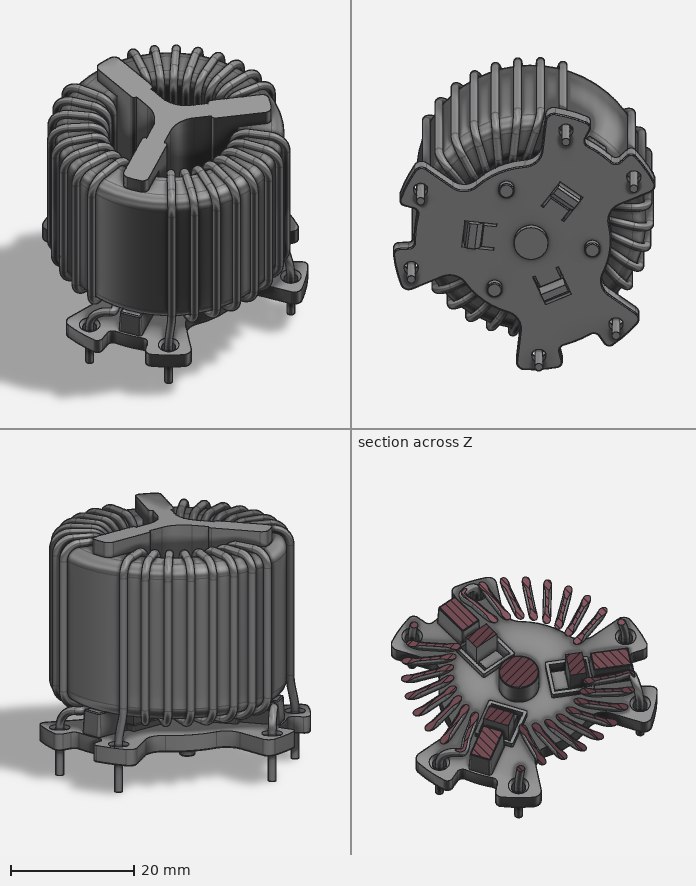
import cadquery as cq
import math


arm_spacing = 120
half_spacing = arm_spacing / 2
arm_angles = [30 + step * arm_spacing for step in range(3)]
winding_angles = [arm + half_spacing for arm in arm_angles]

core_outer_radius = 37.2 / 2
core_bore_radius = 22.35 / 2
core_bottom = 6.82
core_top = 32.8
core_edge_radius = 2.0

wire_diameter = 1.3
wire_radius = wire_diameter / 2
turn_count = 8
turn_pitch_angle = 11.12
winding_shift_angle = 0.4
pin_circle_radius = 20.0
pin_angle_from_arm = 20
pin_angle_from_winding = half_spacing - pin_angle_from_arm
pin_bottom = -5.15
last_run_length = 5.4
lead_heading = -19

plate_thickness = 2.85
hub_radius = 13.0
bridge_radius = 18.95
lobe_radius = 22.5
bridge_half_angle = 10
lobe_half_angle = 30
hub_fillet = 3.0
bridge_fillet = 1.0
lobe_inner_corner = 1.0
lobe_outer_corner = 1.35
plate_edge_chamfer = 0.2
pin_hole_diameter = 2.3
pin_countersink_diameter = 3.3
pin_countersink_angle = 90
foot_diameter = 2.5
foot_height = 1.35
foot_chamfer = 0.2
foot_circle_radius = 10.0

rim_width = 6.65
rim_inner_end = 4.9
rim_outer_end = 11.95
rim_corner_radius = 0.3
rim_top = 3.75
slot_top_width = 5.4
slot_inner_end = 5.48
slot_outer_end = 11.5
slot_draft_inset = 0.4
tongue_width = 3.7
tongue_end = 7.9
support_width = 4.0
support_inner_end = 11.85
support_outer_end = 18.55
support_corner_radius = 0.5
support_taper = 3.5
support_edge_chamfer = 0.2

spider_top = 35.35
web_width = 3.05
arm_width = 4.3
arm_start = 6.6
arm_end_radius = 16.55
arm_end_corner = 1.08
arm_step_corner = (arm_width - web_width) / 2
web_fillet = 5.0
fin_end = 10.8
post_diameter = 6.5
post_chamfer = 0.2
spigot_diameter = 5.5
spigot_bottom = -1.15
leg_start = 8.1
leg_bottom = -0.67
leg_tip_start = 9.0
leg_tip_end = 10.2
leg_bevel_top = 0.25
leg_neck_end = 10.55
leg_neck = -0.22


def polar(radius, angle, height=0.0):
    """Point at a radius, an angle in degrees and a height."""
    turn = math.radians(angle)
    return cq.Vector(radius * math.cos(turn), radius * math.sin(turn), height)


def polar_xy(radius, angle):
    return polar(radius, angle).toTuple()[:2]


def around_axis(body, angle):
    return body.rotate((0, 0, 0), (0, 0, 1), angle)


def radial_block(inner_end, outer_end, width, bottom, top):
    """Box along +X between two distances from the axis."""
    length = outer_end - inner_end
    box = cq.Workplane("XY").box(length, width, top - bottom, centered=(False, True, False))
    return box.translate((inner_end, 0, bottom))


def edges_at(radius, angles):
    """Selector for the vertical edges standing at a radius and a set of angles."""
    reach = 0.05
    tall = 224.45
    selector = None
    for angle in angles:
        x, y = polar_xy(radius, angle)
        low_corner = (x - reach, y - reach, -tall)
        high_corner = (x + reach, y + reach, tall)
        box = cq.selectors.BoxSelector(low_corner, high_corner)
        selector = box if selector is None else selector + box
    return selector


def make_core():
    ring = (
        cq.Workplane("XY", origin=(0, 0, core_bottom))
        .circle(core_outer_radius)
        .circle(core_bore_radius)
        .extrude(core_top - core_bottom)
    )
    return ring.faces("<Z or >Z").edges().fillet(core_edge_radius)


def rounded_path(points, bend_radius):
    """Straight edges through the points, with an arc in place of each right-angled corner."""
    edges = []
    start = points[0]
    for before, corner, after in zip(points, points[1:], points[2:]):
        back = (before - corner).normalized()
        ahead = (after - corner).normalized()
        arc_start = corner + back * bend_radius
        arc_middle = corner + (back + ahead) * (bend_radius * (1 - math.sqrt(0.5)))
        arc_end = corner + ahead * bend_radius
        edges.append(cq.Edge.makeLine(start, arc_start))
        edges.append(cq.Edge.makeThreePointArc(arc_start, arc_middle, arc_end))
        start = arc_end
    edges.append(cq.Edge.makeLine(start, points[-1]))
    return edges


def make_winding():
    """Winding whose middle points along +X; both ends run down as pins."""
    bend_radius = core_edge_radius + wire_radius
    outer = core_outer_radius + wire_radius
    inner = core_bore_radius - wire_radius
    high = core_top + wire_radius
    low = core_bottom - wire_radius
    up = cq.Vector(0, 0, 1)
    first_angle = winding_shift_angle - turn_pitch_angle * (turn_count - 1) / 2

    lead_in_top = polar(outer, first_angle, core_bottom + core_edge_radius)
    corners = [lead_in_top]
    for turn in range(turn_count):
        angle = first_angle + turn * turn_pitch_angle
        next_angle = angle + turn_pitch_angle
        corners.append(polar(outer, angle, high))
        corners.append(polar(inner, angle, high))
        corners.append(polar(inner, angle, low))
        corners.append(polar(outer, next_angle, low))
    last_inner = corners[-2]
    run_direction = (corners[-1] - last_inner).normalized()
    corners[-1] = last_inner + run_direction * last_run_length

    first_pin_top = polar(pin_circle_radius, -pin_angle_from_winding, plate_thickness)
    first_pin_end = polar(pin_circle_radius, -pin_angle_from_winding, pin_bottom)
    lead_in = [
        cq.Edge.makeLine(first_pin_end, first_pin_top),
        cq.Edge.makeSpline([first_pin_top, lead_in_top], tangents=[up, up]),
    ]

    last_pin_top = polar(pin_circle_radius, pin_angle_from_winding, plate_thickness)
    last_pin_end = polar(pin_circle_radius, pin_angle_from_winding, pin_bottom)
    heading = polar(1, lead_heading)
    lead_bend_radius = low - plate_thickness
    lead_bend_start = last_pin_top + (up - heading) * lead_bend_radius
    lead_bend_center = last_pin_top - heading * lead_bend_radius
    lead_bend_middle = lead_bend_center + (up + heading) * (lead_bend_radius * math.sqrt(0.5))
    lead_out = [
        cq.Edge.makeSpline([corners[-1], lead_bend_start], tangents=[run_direction, heading]),
        cq.Edge.makeThreePointArc(lead_bend_start, lead_bend_middle, last_pin_top),
        cq.Edge.makeLine(last_pin_top, last_pin_end),
    ]

    path = cq.Wire.assembleEdges(lead_in + rounded_path(corners, bend_radius) + lead_out)
    section = cq.Wire.makeCircle(wire_radius, first_pin_end, up)
    return cq.Workplane(cq.Solid.sweep(section, [], path))


def make_plate_blank():
    """Hub with a pair of lobes, joined by a bridge, in each arm direction."""
    first = arm_angles[0]
    outline = cq.Workplane("XY").moveTo(*polar_xy(hub_radius, first - lobe_half_angle))
    lobe_middle = (bridge_half_angle + lobe_half_angle) / 2
    for arm in arm_angles:
        outline = (
            outline.lineTo(*polar_xy(lobe_radius, arm - lobe_half_angle))
            .threePointArc(
                polar_xy(lobe_radius, arm - lobe_middle),
                polar_xy(lobe_radius, arm - bridge_half_angle),
            )
            .lineTo(*polar_xy(bridge_radius, arm - bridge_half_angle))
            .threePointArc(
                polar_xy(bridge_radius, arm),
                polar_xy(bridge_radius, arm + bridge_half_angle),
            )
            .lineTo(*polar_xy(lobe_radius, arm + bridge_half_angle))
            .threePointArc(
                polar_xy(lobe_radius, arm + lobe_middle),
                polar_xy(lobe_radius, arm + lobe_half_angle),
            )
            .lineTo(*polar_xy(hub_radius, arm + lobe_half_angle))
            .threePointArc(
                polar_xy(hub_radius, arm + half_spacing),
                polar_xy(hub_radius, arm + arm_spacing - lobe_half_angle),
            )
        )
    blank = outline.close().extrude(plate_thickness)

    bridge_sides = [arm + side * bridge_half_angle for arm in arm_angles for side in (-1, 1)]
    lobe_sides = [arm + side * lobe_half_angle for arm in arm_angles for side in (-1, 1)]
    blank = blank.edges(edges_at(hub_radius, lobe_sides)).fillet(hub_fillet)
    blank = blank.edges(edges_at(bridge_radius, bridge_sides)).fillet(bridge_fillet)
    blank = blank.edges(edges_at(lobe_radius, bridge_sides)).fillet(lobe_inner_corner)
    blank = blank.edges(edges_at(lobe_radius, lobe_sides)).fillet(lobe_outer_corner)
    return blank.faces("<Z").edges().chamfer(plate_edge_chamfer)


def make_core_support():
    """Tapered block along +X that the core rests on."""
    length = support_outer_end - support_inner_end
    footprint = (
        cq.Sketch().rect(length, support_width).vertices().fillet(support_corner_radius)
    )
    middle = (support_inner_end + support_outer_end) / 2
    support = (
        cq.Workplane("XY", origin=(middle, 0, plate_thickness))
        .placeSketch(footprint)
        .extrude(core_bottom - plate_thickness, taper=support_taper)
    )
    return support.faces(">Z").chamfer(support_edge_chamfer)


def make_slot_cutter():
    """Slot along +X, narrowing from the rim down to the plate underside."""
    length = slot_outer_end - slot_inner_end
    middle = (slot_inner_end + slot_outer_end) / 2
    return (
        cq.Workplane("XY", origin=(middle, 0, rim_top))
        .rect(length, slot_top_width)
        .workplane(offset=-rim_top)
        .rect(length - 2 * slot_draft_inset, slot_top_width - 2 * slot_draft_inset)
        .loft(combine=True)
    )


def make_foot():
    foot = cq.Workplane("XY").circle(foot_diameter / 2).extrude(-foot_height)
    return foot.faces("<Z").chamfer(foot_chamfer)


def make_base_plate():
    plate = make_plate_blank()
    rim = radial_block(rim_inner_end, rim_outer_end, rim_width, plate_thickness, rim_top)
    rim = rim.edges("|Z").fillet(rim_corner_radius)
    tongue = radial_block(slot_inner_end, tongue_end, tongue_width, 0, plate_thickness)
    for arm in arm_angles:
        plate = plate.union(around_axis(rim, arm))
        plate = plate.union(around_axis(make_core_support(), arm))
        plate = plate.cut(around_axis(make_slot_cutter(), arm))
        plate = plate.union(around_axis(tongue, arm))
    for angle in winding_angles:
        plate = plate.union(make_foot().translate(polar(foot_circle_radius, angle)))

    pin_spots = [
        polar_xy(pin_circle_radius, arm + side * pin_angle_from_arm)
        for arm in arm_angles
        for side in (-1, 1)
    ]
    plate = (
        plate.copyWorkplane(cq.Workplane("XY", origin=(0, 0, plate_thickness)))
        .pushPoints(pin_spots)
        .cskHole(pin_hole_diameter, pin_countersink_diameter, pin_countersink_angle)
    )
    spigot_hole = cq.Workplane("XY").circle(spigot_diameter / 2).extrude(plate_thickness)
    return plate.cut(spigot_hole)


def make_web():
    """Narrow three-armed web with large fillets at the middle."""
    web = None
    for arm in arm_angles:
        bar = radial_block(0, arm_start + arm_step_corner, web_width, core_bottom, spider_top)
        bar = around_axis(bar, arm)
        web = bar if web is None else web.union(bar)
    inner_corner = web_width / 2 / math.sin(math.radians(half_spacing))
    return web.edges(edges_at(inner_corner, winding_angles)).fillet(web_fillet)


def make_arm():
    """Wide arm along +X: a cap on top of the core, a fin in its bore and a leg into the base."""
    cap = radial_block(arm_start, lobe_radius, arm_width, core_top, spider_top)
    cap_limit = cq.Workplane("XY").circle(arm_end_radius).extrude(spider_top)
    cap = cap.intersect(cap_limit).edges("|Z").edges(">X").fillet(arm_end_corner)
    fin = radial_block(arm_start, fin_end, arm_width, core_bottom, spider_top)
    leg = (
        cq.Workplane("XZ", origin=(0, arm_width / 2, 0))
        .polyline([
            (leg_start, core_bottom),
            (leg_start, leg_bevel_top),
            (leg_tip_start, leg_bottom),
            (leg_tip_end, leg_bottom),
            (leg_neck_end, leg_neck),
            (fin_end, plate_thickness),
            (fin_end, core_bottom),
        ])
        .close()
        .extrude(arm_width)
    )
    arm = cap.union(fin)
    arm = arm.edges("|Z").edges("<X").fillet(arm_step_corner)
    return arm.union(leg)


def make_spider():
    spider = make_web()
    for arm in arm_angles:
        spider = spider.union(around_axis(make_arm(), arm))
    post = (
        cq.Workplane("XY", origin=(0, 0, plate_thickness))
        .circle(post_diameter / 2)
        .extrude(core_bottom - plate_thickness)
        .faces(">Z")
        .chamfer(post_chamfer)
    )
    spigot = (
        cq.Workplane("XY", origin=(0, 0, spigot_bottom))
        .circle(spigot_diameter / 2)
        .extrude(plate_thickness - spigot_bottom)
    )
    return spider.union(post).union(spigot)


core = make_core()
base_plate = make_base_plate()
spider = make_spider()
windings = [around_axis(make_winding(), angle) for angle in winding_angles]

result = cq.Compound.makeCompound(
    [core.val(), base_plate.val(), spider.val(), *[winding.val() for winding in windings]]
)